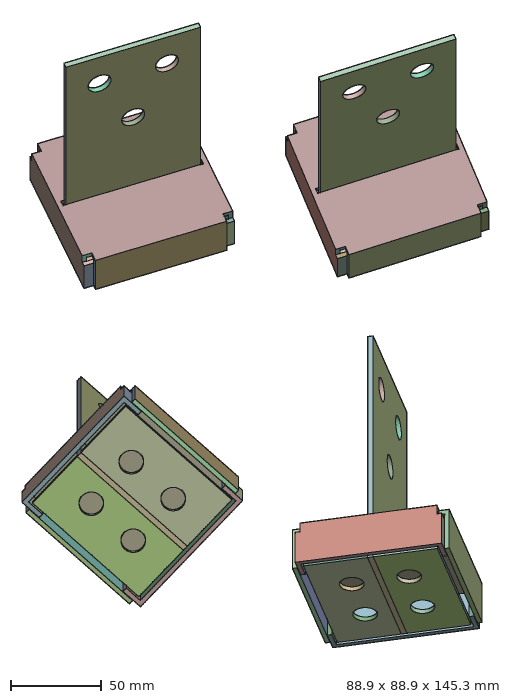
import cadquery as cq

side = 88.9
total_height = 145.3
cover_height = 25.4

sheet = 2.6
tab_length = 13.1
corner_notch = 5.7
tab_gap = 0.3

plate_thickness = 3.2
plate_width = 79.6
slot_length = 82.8

hole_diameter = 13.5
upper_hole_offset = 19.9
upper_hole_z = 122.5
lower_hole_z = 84.3

panel_width = 36.3
panel_hole_x = 16.3
panel_hole_y = 15.7

half = side / 2
flange_length = side - 2 * corner_notch
tab_height = cover_height - corner_notch


def block(x_size, y_size, z_size, x=0, y=0, z=0):
    """Box centred on (x, y) with its underside at z."""
    return cq.Workplane("XY").box(x_size, y_size, z_size, centered=(True, True, False)).translate((x, y, z))


def make_cover():
    """Open-bottomed folded cover with notched corners, inward tabs and a plate slot."""
    top_z = cover_height - sheet
    cover = block(flange_length, side, sheet, z=top_z)
    cover = cover.union(block(side, flange_length, sheet, z=top_z))
    tab_outer_x = half - sheet - tab_gap
    tab_x = tab_outer_x - sheet / 2
    for sign in (-1, 1):
        wall = sign * (half - sheet / 2)
        cover = cover.union(block(sheet, flange_length, cover_height, x=wall))
        cover = cover.union(block(flange_length, sheet, cover_height, y=wall))
        cover = cover.union(block(2 * tab_outer_x, sheet, tab_height, y=wall))
        for x_sign in (-1, 1):
            tab_y = sign * (half - tab_length / 2)
            cover = cover.union(block(sheet, tab_length, tab_height, x=x_sign * tab_x, y=tab_y))
    return cover.cut(block(plate_thickness, slot_length, sheet, z=top_z))


def make_plate():
    """Upright plate with three cross holes."""
    plate = block(plate_thickness, plate_width, total_height)
    centres = [(-upper_hole_offset, upper_hole_z), (upper_hole_offset, upper_hole_z), (0, lower_hole_z)]
    holes = cq.Workplane("YZ").pushPoints(centres).circle(hole_diameter / 2).extrude(plate_thickness, both=True)
    return plate.cut(holes)


def make_floor_panel(sign):
    """Flat panel against one face of the plate, with two round holes."""
    panel_x = sign * (plate_thickness + panel_width) / 2
    panel = block(panel_width, plate_width, sheet, x=panel_x)
    centres = [(sign * panel_hole_x, y_sign * panel_hole_y) for y_sign in (-1, 1)]
    holes = cq.Workplane("XY").pushPoints(centres).circle(hole_diameter / 2).extrude(sheet)
    return panel.cut(holes)


cover = make_cover()
plate = make_plate()
floor_panels = [make_floor_panel(sign).val() for sign in (-1, 1)]
result = cq.Compound.makeCompound([cover.val(), plate.val(), *floor_panels])